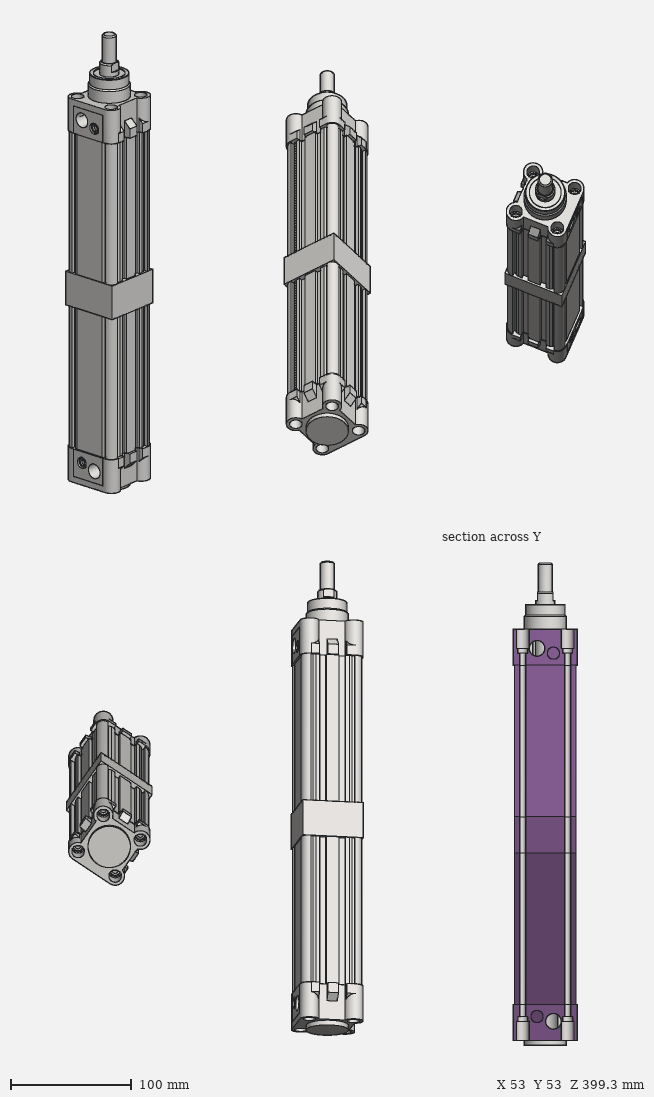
import cadquery as cq


TOTAL_LENGTH = 399.3
BOSS_HEIGHT = 4.0
CAP_HEIGHT = 30.0
BLOCK_HEIGHT = 30.0
TUBE_LENGTH = 125.5
LOWER_CAP_TOP = BOSS_HEIGHT + CAP_HEIGHT
BLOCK_BOTTOM = LOWER_CAP_TOP + TUBE_LENGTH
BLOCK_TOP = BLOCK_BOTTOM + BLOCK_HEIGHT
UPPER_CAP_BOTTOM = BLOCK_TOP + TUBE_LENGTH
UPPER_CAP_TOP = UPPER_CAP_BOTTOM + CAP_HEIGHT

CAP_WIDTH = 53.0
CAP_HALF = CAP_WIDTH / 2
TUBE_WIDTH = 51.0
TUBE_HALF = TUBE_WIDTH / 2
LOBE_RADIUS = 8.0
LOBE_CENTER = CAP_HALF - LOBE_RADIUS
TIE_HOLE_RADIUS = 2.5

CORE_HALF = 20.8
PLATE_HEIGHT = 0.2
PLATE_WIDTH = 32.5
PLATE_INSET = 5.5
FRONT_FACE = CAP_HALF - PLATE_HEIGHT
HOOK_WIDTH = 8.8
HOOK_HEIGHT = 8.5
LUG_INNER = 11.5
HEAD_HOLE_RADIUS = 5.0
HEAD_HOLE_DEPTH = 16.0
STEP_HOLE_RADIUS = 4.0
STEP_HOLE_DEPTH = 20.0
CHAMBER_RADIUS = 10.5
CHAMBER_DEPTH = 24.0
PORT_RADIUS = 6.5
PORT_OFFSET = 6.8
PORT_FROM_FACE = 16.0
PORT_DEPTH = 24.5
SCREW_FROM_FACE = 20.0
SCREW_HOLE_RADIUS = 4.8
SCREW_HOLE_DEPTH = 8.0

SCREW_RECESS = 0.8
SCREW_CHAMFER = 1.0
SOCKET_RADIUS = 2.5
SOCKET_DEPTH = 2.0

PANEL_FACE = 24.8
SLOPE_DROP = 0.8
PANEL_HALF = 14.0
SLOPE_HALF = 16.5
SLOT_HALF = LOBE_CENTER
SLOT_FLOOR = 22.5
SIDE_FACE = 24.0
CHANNEL_OUTER = 10.8
RIB_WIDTH = 10.8
RIB_HALF = RIB_WIDTH / 2
CHANNEL_FLOOR = 21.0

COLLAR_RADIUS = 17.5
COLLAR_TOP = 356.0
BEARING_RADIUS = 16.5
BEARING_TOP = 365.0
SEAL_RADIUS = 13.0
SEAL_HEIGHT = 4.0
SEAL_RECESS = 0.8
EDGE_CHAMFER = 1.0
BEARING_CHAMFER = 0.5
ROD_RADIUS = 8.0
THREAD_RADIUS = 6.0
THREAD_LENGTH = 24.0
THREAD_CHAMFER = 1.0
FLAT_WIDTH = 13.0
FLAT_LENGTH = 7.0
ROD_SHOULDER = TOTAL_LENGTH - THREAD_LENGTH

CORNERS = [(sx * LOBE_CENTER, sy * LOBE_CENTER) for sx in (-1, 1) for sy in (-1, 1)]

RECESSED_SIDES = (0, 90, 180)


def cylinder(radius, bottom, top):
    """Cylinder on the main axis between two heights."""
    return cq.Workplane("XY").workplane(offset=bottom).circle(radius).extrude(top - bottom)


def box_between(x0, x1, y0, y1, z0, z1):
    """Box given by its limits along each axis."""
    return cq.Workplane("XY").box(x1 - x0, y1 - y0, z1 - z0, centered=False).translate((x0, y0, z0))


def corner_cylinders(radius, bottom, top):
    """Four upright cylinders on the tie-hole pattern."""
    base = cq.Workplane("XY").workplane(offset=bottom)
    return base.pushPoints(CORNERS).circle(radius).extrude(top - bottom)


def bore_from_front(radius, x, z, depth):
    """Horizontal cylinder going inward from the port plate."""
    return cq.Workplane("XZ", origin=(x, -CAP_HALF, z)).circle(radius).extrude(-depth)


def side_hook(y0, y1):
    """Hook on the +X side at the inner end of a cap, with a 45 degree top running to the core."""
    slope = CAP_HALF - CORE_HALF
    return (
        cq.Workplane("XZ", origin=(0, y0, 0))
        .moveTo(CORE_HALF, 0)
        .lineTo(CAP_HALF, 0)
        .lineTo(CAP_HALF, HOOK_HEIGHT)
        .lineTo(CORE_HALF, HOOK_HEIGHT + slope)
        .close()
        .extrude(-(y1 - y0))
    )


def corner_lobes(height):
    """Upright lobes around the tie holes; the two beside the port plate are slimmer by its height."""
    lobes = cq.Workplane("XY")
    for x, y in CORNERS:
        radius = LOBE_RADIUS if y > 0 else LOBE_RADIUS - PLATE_HEIGHT
        lobes = lobes.union(cq.Workplane("XY").center(x, y).circle(radius).extrude(height))
    return lobes


def cap_outside():
    """Outer shape of a cap, inner face at Z = 0 and outer face up."""
    cap = box_between(-CORE_HALF, CORE_HALF, -CORE_HALF, CORE_HALF, 0, CAP_HEIGHT)
    cap = cap.union(box_between(-LOBE_CENTER, LOBE_CENTER, -FRONT_FACE, -CORE_HALF, 0, CAP_HEIGHT))
    cap = cap.union(corner_lobes(CAP_HEIGHT))
    plate_half = PLATE_WIDTH / 2
    plate_top = CAP_HEIGHT - PLATE_INSET
    cap = cap.union(box_between(-plate_half, plate_half, -CAP_HALF, -CORE_HALF, 0, plate_top))
    hook_spans = [
        (-HOOK_WIDTH / 2, HOOK_WIDTH / 2),
        (LUG_INNER, LOBE_CENTER),
        (-LOBE_CENTER, -LUG_INNER),
    ]
    for angle in RECESSED_SIDES:
        for y0, y1 in hook_spans:
            cap = cap.union(side_hook(y0, y1).rotate((0, 0, 0), (0, 0, 1), angle))
    return cap


def make_cap():
    """Cap with chamber, port, screw hole and tie holes, inner face at Z = 0 and outer face up."""
    cap = cap_outside()
    cap = cap.cut(cylinder(CHAMBER_RADIUS, 0, CHAMBER_DEPTH))
    cap = cap.cut(bore_from_front(PORT_RADIUS, -PORT_OFFSET, CAP_HEIGHT - PORT_FROM_FACE, PORT_DEPTH))
    screw_z = CAP_HEIGHT - SCREW_FROM_FACE
    cap = cap.cut(bore_from_front(SCREW_HOLE_RADIUS, PORT_OFFSET, screw_z, SCREW_HOLE_DEPTH))
    cap = cap.cut(corner_cylinders(TIE_HOLE_RADIUS, 0, CAP_HEIGHT))
    cap = cap.cut(corner_cylinders(STEP_HOLE_RADIUS, CAP_HEIGHT - STEP_HOLE_DEPTH, CAP_HEIGHT))
    return cap.cut(corner_cylinders(HEAD_HOLE_RADIUS, CAP_HEIGHT - HEAD_HOLE_DEPTH, CAP_HEIGHT))


def make_cushion_screw():
    """Round screw with a socket, placed in the screw hole of a cap whose inner face is at Z = 0."""
    screw_z = CAP_HEIGHT - SCREW_FROM_FACE
    screw = bore_from_front(SCREW_HOLE_RADIUS, PORT_OFFSET, screw_z, SCREW_HOLE_DEPTH)
    screw = screw.cut(bore_from_front(SCREW_HOLE_RADIUS, PORT_OFFSET, screw_z, SCREW_RECESS))
    screw = screw.faces("<Y").edges().chamfer(SCREW_CHAMFER)
    return screw.cut(bore_from_front(SOCKET_RADIUS, PORT_OFFSET, screw_z, SCREW_RECESS + SOCKET_DEPTH))


def at_upper_cap(part):
    """Move a cap part to the rod end."""
    return part.translate((0, 0, UPPER_CAP_BOTTOM))


def at_lower_cap(part):
    """Turn a cap part upside down about Y and move it to the closed end."""
    return part.rotate((0, 0, 0), (0, 1, 0), 180).translate((0, 0, LOWER_CAP_TOP))


def make_upper_cap():
    """Cap with a chamfered collar, bored for the rod."""
    collar = cylinder(COLLAR_RADIUS, UPPER_CAP_TOP, COLLAR_TOP).faces(">Z").chamfer(EDGE_CHAMFER)
    return at_upper_cap(make_cap()).union(collar).cut(cylinder(ROD_RADIUS, UPPER_CAP_BOTTOM, COLLAR_TOP))


def make_lower_cap():
    """Cap with a centring boss below it."""
    return at_lower_cap(make_cap()).union(cylinder(COLLAR_RADIUS, 0, BOSS_HEIGHT))


def side_channels():
    """Full-length cut on the +X side of the tube: two channels and two corner slots."""
    edge = TUBE_HALF + LOBE_RADIUS
    half = (
        cq.Workplane("XY")
        .moveTo(edge, 0)
        .lineTo(SIDE_FACE, 0)
        .lineTo(SIDE_FACE, RIB_HALF)
        .lineTo(CHANNEL_FLOOR, RIB_HALF)
        .lineTo(CHANNEL_FLOOR, CHANNEL_OUTER)
        .lineTo(SIDE_FACE, CHANNEL_OUTER)
        .lineTo(SIDE_FACE, PANEL_HALF)
        .lineTo(SIDE_FACE - SLOPE_DROP, SLOPE_HALF)
        .lineTo(SLOT_FLOOR, SLOPE_HALF)
        .lineTo(SLOT_FLOOR, SLOT_HALF)
        .lineTo(edge, SLOT_HALF)
        .close()
        .extrude(TUBE_LENGTH)
    )
    return half.union(half.mirror("XZ"))


def front_grooves():
    """Full-length cut on the -Y side of the tube, leaving a wide flat panel between two corner slots."""
    edge = TUBE_HALF + LOBE_RADIUS
    half = (
        cq.Workplane("XY")
        .moveTo(0, -edge)
        .lineTo(0, -PANEL_FACE)
        .lineTo(PANEL_HALF, -PANEL_FACE)
        .lineTo(SLOPE_HALF, SLOPE_DROP - PANEL_FACE)
        .lineTo(SLOPE_HALF, -SLOT_FLOOR)
        .lineTo(SLOT_HALF, -SLOT_FLOOR)
        .lineTo(SLOT_HALF, -edge)
        .close()
        .extrude(TUBE_LENGTH)
    )
    return half.union(half.mirror("YZ"))


def make_tube(bottom):
    """Profiled tube length with rounded corners and tie holes."""
    tube = cq.Workplane("XY").rect(TUBE_WIDTH, TUBE_WIDTH).extrude(TUBE_LENGTH)
    tube = tube.edges("|Z").fillet(TUBE_HALF - SLOT_HALF)
    for angle in RECESSED_SIDES:
        tube = tube.cut(side_channels().rotate((0, 0, 0), (0, 0, 1), angle))
    tube = tube.cut(front_grooves())
    tube = tube.cut(corner_cylinders(TIE_HOLE_RADIUS, 0, TUBE_LENGTH))
    return tube.translate((0, 0, bottom))


def make_block():
    """Square centre block with tie holes."""
    block = box_between(-TUBE_HALF, TUBE_HALF, -TUBE_HALF, TUBE_HALF, BLOCK_BOTTOM, BLOCK_TOP)
    return block.cut(corner_cylinders(TIE_HOLE_RADIUS, BLOCK_BOTTOM, BLOCK_TOP))


def make_bearing():
    """Ring on the collar with a recess for the seal."""
    bearing = cylinder(BEARING_RADIUS, COLLAR_TOP, BEARING_TOP).faces(">Z").edges().chamfer(BEARING_CHAMFER)
    bearing = bearing.cut(cylinder(SEAL_RADIUS, BEARING_TOP - SEAL_HEIGHT, BEARING_TOP))
    return bearing.cut(cylinder(ROD_RADIUS, COLLAR_TOP, BEARING_TOP))


def make_seal():
    """Wiper ring between the bearing and the rod."""
    seal = cylinder(SEAL_RADIUS, BEARING_TOP - SEAL_HEIGHT, BEARING_TOP - SEAL_RECESS)
    return seal.cut(cylinder(ROD_RADIUS, COLLAR_TOP, BEARING_TOP))


def make_rod():
    """Piston rod with a reduced, chamfered end and two wrench flats facing +X and -X."""
    rod = cylinder(ROD_RADIUS, UPPER_CAP_BOTTOM, ROD_SHOULDER).faces(">Z").chamfer(EDGE_CHAMFER)
    flat_bottom = ROD_SHOULDER - FLAT_LENGTH
    flat_half = FLAT_WIDTH / 2
    kept = box_between(-flat_half, flat_half, -ROD_RADIUS, ROD_RADIUS, flat_bottom, ROD_SHOULDER)
    rod = rod.cut(cylinder(ROD_RADIUS, flat_bottom, ROD_SHOULDER).cut(kept))
    thread = cylinder(THREAD_RADIUS, ROD_SHOULDER, TOTAL_LENGTH).faces(">Z").chamfer(THREAD_CHAMFER)
    return rod.union(thread)


upper_cap = make_upper_cap()
lower_cap = make_lower_cap()
tubes = [make_tube(bottom) for bottom in (LOWER_CAP_TOP, BLOCK_TOP)]
center_block = make_block()
rod = make_rod()
bearing = make_bearing()
seal = make_seal()
cushion_screws = [place(make_cushion_screw()) for place in (at_lower_cap, at_upper_cap)]

result = cq.Compound.makeCompound(
    [
        upper_cap.val(),
        lower_cap.val(),
        *[tube.val() for tube in tubes],
        center_block.val(),
        rod.val(),
        bearing.val(),
        seal.val(),
        *[screw.val() for screw in cushion_screws],
    ]
)